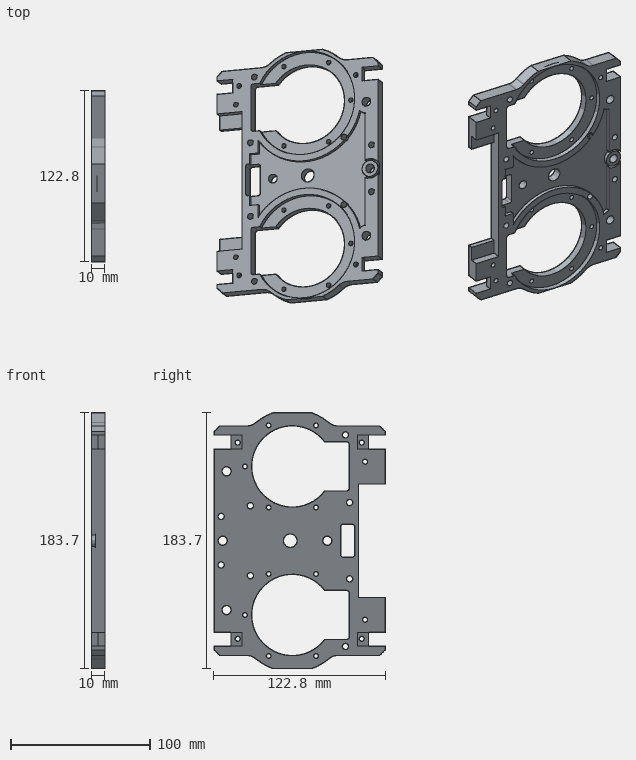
import cadquery as cq
import math

thickness = 10.0
width = 122.8
height = 183.7
half_width = width / 2
half_height = height / 2
shoulder_z = 82.4
corner_chamfer = 4.0

ring_y = -5.3
ring_z = 53.3
rim_radius = 41.0
rim_blend_radius = 10.0
seat_radius = 38.3
seat_depth = 4.0
bore_radius = 29.1
window_edge_y = 35.5
window_height = 35.2
window_corner_radius = 2.0

notch_depth = 12.0
notch_rebate_depth = 8.0
notch_rebate_x = thickness / 2
notch_bottom_z = 65.7
notch_top_z = 75.7

foot_inner_y = 42.3
foot_end_z = 40.6
foot_step_z = 51.1
foot_thickness = 4.0

pocket_depth = 3.0
pocket_arc_radius = 43.1
pocket_right_y = -51.6
pocket_shoulder_y = 29.9
pocket_left_y = 36.6
pocket_shoulder_z = 19.2

slot_inner_y = 29.5
slot_outer_y = 39.4
slot_height = 23.4
slot_corner_radius = 1.5

boss_y = -55.3
boss_radius = 6.0
boss_clearance_radius = 7.3

dowel_y = -52.5
dowel_z = 49.8
dowel_diameter = 6.4
pad_radius = 8.0

ring_hole_diameter = 3.2
ring_hole_circle_radius = 34.0
ring_hole_angles = (0, 60, 120, 240, 300)
small_hole_diameter = 3.4
small_holes = [(44.5, 70.4), (-44.5, 70.4), (46.9, 56.7)]
medium_hole_diameter = 4.3
medium_holes = [(32.8, 75.9), (35.8, 27.4), (-35.4, 25.1), (-56.4, 17.4)]
centre_hole_y = -6.8
centre_hole_diameter = 9.6
side_hole_y = 19.8

signs = (1, -1)


def sketch_plane(x=0.0):
    """YZ workplane at depth x whose local axes are the part's Y and Z."""
    return cq.Workplane("YZ", origin=(x, 0, 0))


def block(y_min, y_max, z_min, z_max, depth=thickness, start_x=0.0):
    """Block of the given depth along X, starting at start_x."""
    outline = sketch_plane(start_x).center((y_min + y_max) / 2, (z_min + z_max) / 2)
    return outline.rect(y_max - y_min, z_max - z_min).extrude(depth)


def disc(y, z, radius, depth=thickness):
    """Cylinder along X from the worked face to the given depth."""
    return sketch_plane().center(y, z).circle(radius).extrude(depth)


def rim_cap(sign):
    """Rim bulge beyond a shoulder, flat on top and blended into the shoulder on both sides."""
    rise = shoulder_z - ring_z
    blend_z = shoulder_z + rim_blend_radius
    blend_reach = math.sqrt((rim_radius + rim_blend_radius) ** 2 - (rise + rim_blend_radius) ** 2)
    touch_ratio = rim_radius / (rim_radius + rim_blend_radius)
    touch_reach = blend_reach * touch_ratio
    touch_z = ring_z + (rise + rim_blend_radius) * touch_ratio
    flat_reach = math.sqrt(rim_radius ** 2 - (half_height - ring_z) ** 2)
    blend_start = -math.pi / 2
    blend_end = math.atan2(touch_z - blend_z, touch_reach - blend_reach)
    blend_mid = (blend_start + blend_end) / 2
    blend_mid_reach = blend_reach + rim_blend_radius * math.cos(blend_mid)
    blend_mid_z = blend_z + rim_blend_radius * math.sin(blend_mid)
    rim_mid = (math.acos(touch_reach / rim_radius) + math.acos(flat_reach / rim_radius)) / 2
    rim_mid_reach = rim_radius * math.cos(rim_mid)
    rim_mid_z = ring_z + rim_radius * math.sin(rim_mid)

    def at(reach, z):
        return (ring_y + reach, sign * z)

    outline = (
        sketch_plane()
        .moveTo(*at(-blend_reach, ring_z))
        .lineTo(*at(-blend_reach, shoulder_z))
        .threePointArc(at(-blend_mid_reach, blend_mid_z), at(-touch_reach, touch_z))
        .threePointArc(at(-rim_mid_reach, rim_mid_z), at(-flat_reach, half_height))
        .lineTo(*at(flat_reach, half_height))
        .threePointArc(at(rim_mid_reach, rim_mid_z), at(touch_reach, touch_z))
        .threePointArc(at(blend_mid_reach, blend_mid_z), at(blend_reach, shoulder_z))
        .lineTo(*at(blend_reach, ring_z))
        .close()
    )
    return outline.extrude(thickness)


def side_notches(z_min, z_max):
    """Notches in both plate sides, rebated deeper towards the back face."""
    floor_y = half_width - notch_depth
    rebate_y = floor_y - notch_rebate_depth
    rebate_thickness = thickness - notch_rebate_x
    notch = block(floor_y, half_width, z_min, z_max)
    notch = notch.union(block(rebate_y, half_width, z_min, z_max, rebate_thickness, notch_rebate_x))
    return notch.union(notch.mirror("XZ"))


def plate_blank():
    """Chamfered plate with rim caps, side notches and the stepped feet."""
    plate = block(-half_width, half_width, -shoulder_z, shoulder_z).edges("|X").chamfer(corner_chamfer)
    for sign in signs:
        plate = plate.union(rim_cap(sign))
    plate = plate.cut(block(foot_inner_y, half_width, -foot_end_z, foot_end_z))
    foot_step_depth = thickness - foot_thickness
    plate = plate.cut(block(foot_inner_y, half_width, -foot_step_z, foot_step_z, foot_step_depth))
    for z_min, z_max in ((notch_bottom_z, notch_top_z), (-notch_top_z, -notch_bottom_z)):
        plate = plate.cut(side_notches(z_min, z_max))
    return plate


def pocket():
    """Central pocket between the two rings, leaving the edge boss and dowel pads standing."""
    area = block(pocket_right_y, pocket_shoulder_y, -ring_z, ring_z, pocket_depth)
    area = area.union(
        block(pocket_shoulder_y, pocket_left_y, -pocket_shoulder_z, pocket_shoulder_z, pocket_depth)
    )
    for sign in signs:
        area = area.cut(disc(ring_y, sign * ring_z, pocket_arc_radius, pocket_depth))
        area = area.cut(disc(dowel_y, sign * dowel_z, pad_radius, pocket_depth))
    area = area.union(disc(boss_y, 0, boss_clearance_radius, pocket_depth))
    return area.cut(disc(boss_y, 0, boss_radius, pocket_depth))


def ring_opening(z):
    """Stepped bore with its rectangular window towards +Y."""
    half_window = window_height / 2
    window = block(ring_y, window_edge_y, z - half_window, z + half_window)
    window = window.edges("|X and >Y").fillet(window_corner_radius)
    opening = disc(ring_y, z, bore_radius).union(window)
    return opening.union(disc(ring_y, z, seat_radius, seat_depth))


def slot():
    """Rounded rectangular through slot at the +Y end of the pocket."""
    opening = block(slot_inner_y, slot_outer_y, -slot_height / 2, slot_height / 2)
    return opening.edges("|X").fillet(slot_corner_radius)


def drill(plate, places, diameter):
    """Through holes along X at the given (Y, Z) places."""
    return plate.cut(sketch_plane().pushPoints(places).circle(diameter / 2).extrude(thickness))


def mirrored(places):
    """The given (Y, Z) places together with their images below Z = 0."""
    return [(y, sign * z) for y, z in places for sign in signs]


def ring_hole_places():
    """Screw places around the upper bore, leaving the window side free."""
    places = []
    for angle in ring_hole_angles:
        y = ring_y - ring_hole_circle_radius * math.cos(math.radians(angle))
        z = ring_z + ring_hole_circle_radius * math.sin(math.radians(angle))
        places.append((y, z))
    return places


result = plate_blank().cut(pocket())
for side in signs:
    result = result.cut(ring_opening(side * ring_z))
result = result.cut(slot())
result = drill(result, mirrored(ring_hole_places()), ring_hole_diameter)
result = drill(result, mirrored(small_holes), small_hole_diameter)
result = drill(result, mirrored(medium_holes), medium_hole_diameter)
result = drill(result, mirrored([(dowel_y, dowel_z)]), dowel_diameter)
result = drill(result, [(side_hole_y, 0), (boss_y, 0)], dowel_diameter)
result = drill(result, [(centre_hole_y, 0)], centre_hole_diameter)